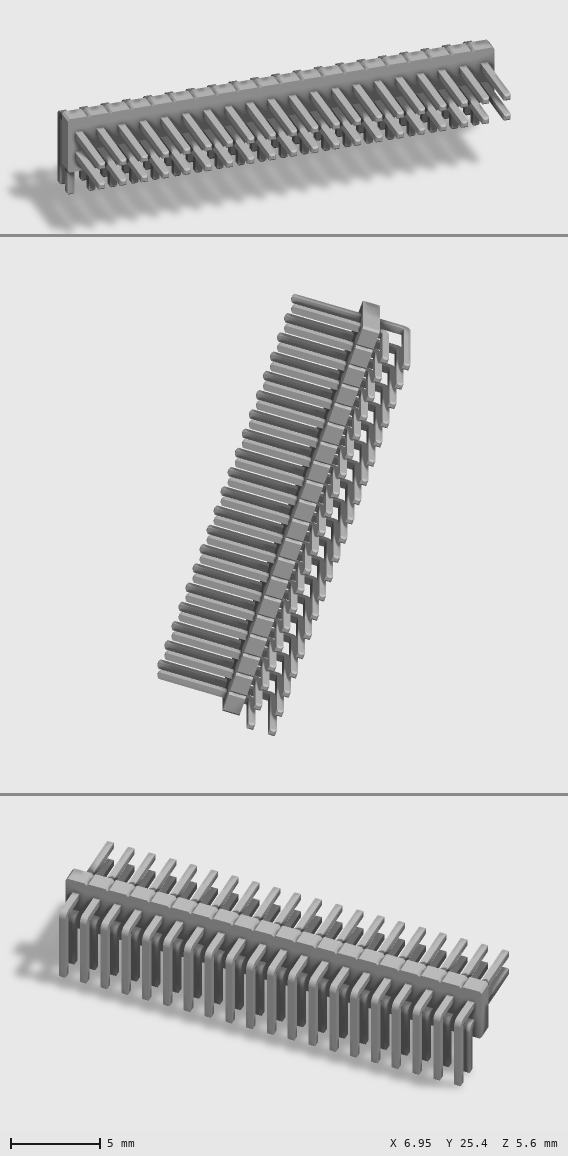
import cadquery as cq

columns = 20
pitch = 1.27
overall_length = 6.95
overall_height = 5.6

housing_thickness = 1.0
housing_height = 3.4
housing_front = 1.95
housing_chamfer = 0.13

pin_width = 0.4
tip_chamfer = 0.1
bend_radius = pin_width

housing_center_z = overall_height - housing_height / 2


def housing_segment(y):
    """One column's share of the housing, chamfered along its X edges."""
    center_x = housing_front + housing_thickness / 2
    return (
        cq.Workplane("XY")
        .box(housing_thickness, pitch, housing_height)
        .edges("|X")
        .chamfer(housing_chamfer)
        .translate((center_x, y, housing_center_z))
    )


def bent_pin(tail_x, center_z, y):
    """Square pin with its tail's outer face at tail_x and its mating arm at center_z."""
    arm_top = center_z + pin_width / 2
    arm_bottom = center_z - pin_width / 2
    return (
        cq.Workplane("XZ", origin=(0, y, 0))
        .moveTo(tail_x, 0)
        .lineTo(tail_x, arm_top - bend_radius)
        .radiusArc((tail_x + bend_radius, arm_top), bend_radius)
        .lineTo(overall_length, arm_top)
        .lineTo(overall_length, arm_bottom)
        .lineTo(tail_x + pin_width, arm_bottom)
        .lineTo(tail_x + pin_width, 0)
        .close()
        .extrude(pin_width / 2, both=True)
        .faces("<Z or >X")
        .edges()
        .chamfer(tip_chamfer)
    )


def header_column(y):
    """Housing segment with its long upper pin and short lower pin."""
    upper_pin = bent_pin(0, housing_center_z + pitch / 2, y)
    lower_pin = bent_pin(pitch, housing_center_z - pitch / 2, y)
    return housing_segment(y).union(upper_pin).union(lower_pin)


first_column_y = -pitch * (columns - 1) / 2
result = header_column(first_column_y)
for index in range(1, columns):
    result = result.union(header_column(first_column_y + index * pitch))